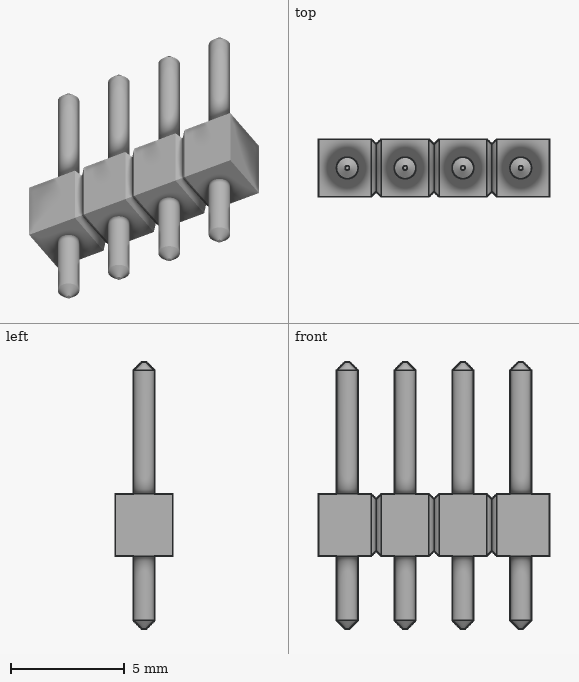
import cadquery as cq

pin_count = 4
pitch = 2.54

housing_length = pin_count * pitch
housing_width = pitch
housing_height = 2.74
groove_depth = 0.225

pin_diameter = 0.95
pin_radius = pin_diameter / 2
pin_above_housing = 5.8
pin_below_housing = 3.2
pin_length = pin_below_housing + housing_height + pin_above_housing
pin_tip_chamfer = 0.38

pin_positions = [(i - (pin_count - 1) / 2) * pitch for i in range(pin_count)]
groove_positions = [x + pitch / 2 for x in pin_positions[:-1]]


def grooved_outline(plane, width):
    """Bar as long as the housing, with V-grooves on both long edges, spanning +/- width / 2."""
    half_length = housing_length / 2
    half_width = width / 2
    lower_edge = [(-half_length, -half_width)]
    for x in groove_positions:
        lower_edge.append((x - groove_depth, -half_width))
        lower_edge.append((x, -half_width + groove_depth))
        lower_edge.append((x + groove_depth, -half_width))
    lower_edge.append((half_length, -half_width))
    upper_edge = [(x, -y) for x, y in reversed(lower_edge)]
    return cq.Workplane(plane).polyline(lower_edge + upper_edge).close()


def make_housing():
    """Rectangular bar with V-grooves on all four sides between pins, and one through hole per pin."""
    grooved_in_top = grooved_outline("XY", housing_width).extrude(housing_height)
    grooved_in_front = (
        grooved_outline("XZ", housing_height)
        .extrude(housing_width / 2, both=True)
        .translate((0, 0, housing_height / 2))
    )
    pin_holes = (
        cq.Workplane("XY")
        .pushPoints([(x, 0) for x in pin_positions])
        .circle(pin_radius)
        .extrude(housing_height)
    )
    return grooved_in_top.intersect(grooved_in_front).cut(pin_holes).solids()


def make_pin(x):
    """Round pin through the housing, with both ends tapered to a small flat."""
    return (
        cq.Workplane("XY", origin=(x, 0, -pin_below_housing))
        .circle(pin_radius)
        .extrude(pin_length)
        .faces("<Z or >Z")
        .chamfer(pin_tip_chamfer)
        .solids()
    )


housing = make_housing()
pins = [make_pin(x) for x in pin_positions]

result = cq.Compound.makeCompound([housing.val(), *[pin.val() for pin in pins]])